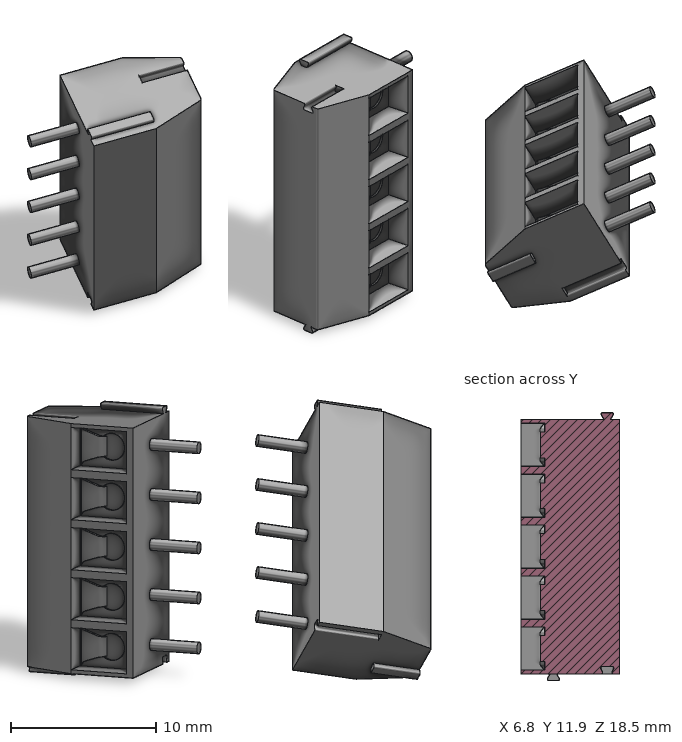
import cadquery as cq
import math

WAYS = 5
LENGTH = 18.46
OVERALL_DEPTH = 11.9
RAIL_HEIGHT = 0.46
HOUSING_HEIGHT = LENGTH - 2 * RAIL_HEIGHT
HOUSING_WIDTH = 6.8
PITCH = HOUSING_HEIGHT / WAYS
PIN_LENGTH = 3.5
HOUSING_DEPTH = OVERALL_DEPTH - PIN_LENGTH
SHOULDER_Y = 4.58
TAPER_INSET = 1.37
BACK_EDGE_RADIUS = 0.2

PIN_RADIUS = 0.4
PIN_X = 0.1

RAIL_NECK_HALF = 0.24
RAIL_TIP_HALF = 0.5
RAIL_TIP_RADIUS = 0.11
GROOVE_DEPTH = 0.52
GROOVE_NECK_HALF = 0.25
GROOVE_FLOOR_HALF = 0.5
GROOVE_MOUTH_RADIUS = 0.1
FRONT_DOVETAIL_X = 2.55
BACK_DOVETAIL_X = -1.16
BACK_DOVETAIL_LENGTH = 3.3

SIDE_X = -HOUSING_WIDTH / 2
WINDOW_HEIGHT = 2.95
WINDOW_DEPTH = 1.62
WINDOW_FRONT_Y = 0.48
WINDOW_FLOOR_FRONT_Y = 0.66
FLOOR_X = SIDE_X + WINDOW_DEPTH

WIRE_HOLE_RADIUS = 0.95
WIRE_HOLE_Y = 2.22
WIRE_HOLE_DEPTH = 0.17

LEAF_HEIGHT = 0.3
LEAF_BACK_GAP = 0.11
LEAF_BACK_Y = SHOULDER_Y - LEAF_BACK_GAP
LEAF_FRONT_Y = 2.62
LEAF_FRONT_RADIUS = LEAF_HEIGHT + WIRE_HOLE_DEPTH
LEAF_BACK_RADIUS = 0.35
LEAF_BACK_HALF = WINDOW_HEIGHT / 2
LEAF_FLARE_HALF = 1.09
LEAF_NECK_HALF = 0.74
LEAF_TIP_HALF = 0.68


def make_housing():
    half = HOUSING_WIDTH / 2
    back_half = half - TAPER_INSET
    return (
        cq.Workplane("XY", origin=(0, 0, -HOUSING_HEIGHT / 2))
        .moveTo(-half, 0)
        .lineTo(half, 0)
        .lineTo(half, SHOULDER_Y)
        .lineTo(back_half, HOUSING_DEPTH)
        .lineTo(-back_half, HOUSING_DEPTH)
        .lineTo(-half, SHOULDER_Y)
        .close()
        .extrude(HOUSING_HEIGHT)
        .edges("|Z and >Y")
        .fillet(BACK_EDGE_RADIUS)
    )


def dovetail(x, base_z, tip_z, y_start, y_end, base_half, tip_half):
    """Bar along Y that widens from base_z to tip_z, with rounded tip corners."""
    section = [(-base_half, base_z), (base_half, base_z), (tip_half, tip_z), (-tip_half, tip_z)]
    bar = (
        cq.Workplane("XZ", origin=(x, y_start, 0))
        .polyline(section)
        .close()
        .extrude(y_start - y_end)
    )
    tip_face = ">Z" if tip_z > base_z else "<Z"
    return bar.faces(tip_face).edges("|Y").fillet(RAIL_TIP_RADIUS)


def add_rail(body, x, face_z, y_start, y_end):
    tip_z = face_z + math.copysign(RAIL_HEIGHT, face_z)
    return body.union(dovetail(x, face_z, tip_z, y_start, y_end, RAIL_NECK_HALF, RAIL_TIP_HALF))


def cut_groove(body, x, face_z, y_start, y_end):
    floor_z = face_z - math.copysign(GROOVE_DEPTH, face_z)
    body = body.cut(dovetail(x, face_z, floor_z, y_start, y_end, GROOVE_NECK_HALF, GROOVE_FLOOR_HALF))
    y_middle = (y_start + y_end) / 2
    for side in (-1, 1):
        mouth_edge = cq.selectors.NearestToPointSelector((x + side * GROOVE_NECK_HALF, y_middle, face_z))
        body = body.edges("|Y").edges(mouth_edge).fillet(GROOVE_MOUTH_RADIUS)
    return body


def make_window(z):
    """Entry pocket whose front wall leans in towards the floor."""
    return (
        cq.Workplane("XY", origin=(0, 0, z - WINDOW_HEIGHT / 2))
        .polyline([
            (SIDE_X, WINDOW_FRONT_Y),
            (FLOOR_X, WINDOW_FLOOR_FRONT_Y),
            (FLOOR_X, SHOULDER_Y),
            (SIDE_X, SHOULDER_Y),
        ])
        .close()
        .extrude(WINDOW_HEIGHT)
    )


def make_wire_hole(z):
    hole_plane = cq.Workplane("YZ", origin=(FLOOR_X, WIRE_HOLE_Y, z))
    return hole_plane.circle(WIRE_HOLE_RADIUS).extrude(WIRE_HOLE_DEPTH)


def make_leaf(z):
    """Clamp leaf: a flared, tapering outline whose two ends roll down into the floor."""
    root_x = FLOOR_X + WIRE_HOLE_DEPTH
    top_x = FLOOR_X - LEAF_HEIGHT
    flare_y = LEAF_BACK_Y - LEAF_BACK_RADIUS
    neck_y = LEAF_FRONT_Y + LEAF_FRONT_RADIUS
    upper_half = (
        cq.Workplane("YZ", origin=(top_x, 0, z))
        .moveTo(LEAF_FRONT_Y, 0)
        .lineTo(LEAF_FRONT_Y, LEAF_TIP_HALF)
        .lineTo(neck_y, LEAF_NECK_HALF)
        .lineTo(flare_y, LEAF_FLARE_HALF)
        .tangentArcPoint((LEAF_BACK_Y, LEAF_BACK_HALF), relative=False)
        .lineTo(LEAF_BACK_Y, 0)
        .close()
        .extrude(root_x - top_x)
    )
    outline = upper_half.union(upper_half.mirror("XY", (0, 0, z)))
    profile = (
        cq.Workplane("XY", origin=(0, 0, z - LEAF_BACK_HALF))
        .moveTo(root_x, LEAF_FRONT_Y)
        .radiusArc((top_x, neck_y), LEAF_FRONT_RADIUS)
        .lineTo(top_x, flare_y)
        .radiusArc((top_x + LEAF_BACK_RADIUS, LEAF_BACK_Y), LEAF_BACK_RADIUS)
        .lineTo(root_x, LEAF_BACK_Y)
        .close()
        .extrude(2 * LEAF_BACK_HALF)
    )
    return outline.intersect(profile)


def make_pin(z):
    return cq.Workplane("XZ", origin=(PIN_X, 0, z)).circle(PIN_RADIUS).extrude(PIN_LENGTH)


top_z = HOUSING_HEIGHT / 2
back_dovetail_y = HOUSING_DEPTH - BACK_DOVETAIL_LENGTH

result = make_housing()
result = cut_groove(result, FRONT_DOVETAIL_X, -top_z, 0, SHOULDER_Y)
result = cut_groove(result, BACK_DOVETAIL_X, top_z, back_dovetail_y, HOUSING_DEPTH)
result = add_rail(result, FRONT_DOVETAIL_X, top_z, 0, SHOULDER_Y)
result = add_rail(result, BACK_DOVETAIL_X, -top_z, back_dovetail_y, HOUSING_DEPTH)

for way in range(WAYS):
    way_z = (way - (WAYS - 1) / 2) * PITCH
    result = result.cut(make_window(way_z)).cut(make_wire_hole(way_z))
    result = result.union(make_leaf(way_z)).union(make_pin(way_z))